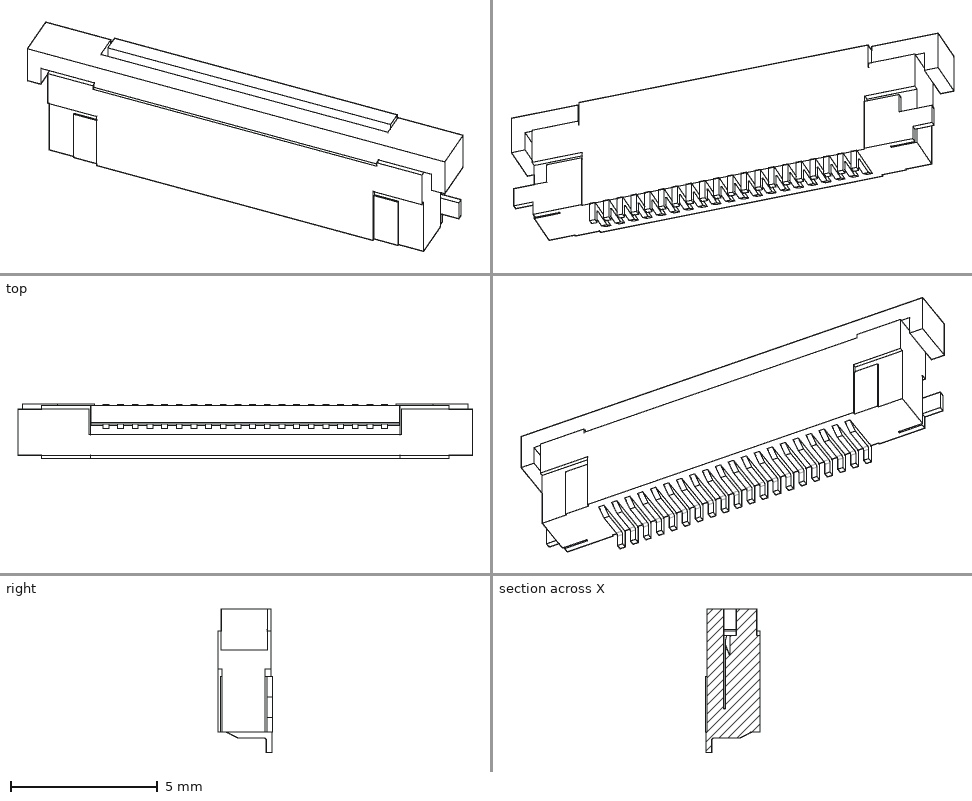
import cadquery as cq


total_width = 15.5
total_depth = 1.87
total_height = 4.9

housing_half_width = 6.95
housing_back = 1.82
housing_bottom = 0.7
shoulder_top = 4.15
deck_top = 4.0
deck_half_width = 5.27

bar_half_width = 5.25
bar_front = 1.24

recess_inner = 5.13
recess_top = 2.85
front_recess_depth = 0.14
back_recess_face = 1.61
pad_outer = 6.02
pad_top = 2.6
pad_face = 0.09
back_pad_face = 1.67

slider_front = 0.11
slider_back = 1.69
slider_bottom = 4.2
notch_half_width = 5.33
notch_front = 0.82
leg_width = 0.5
leg_bottom = 3.5

nail_plate_outer = 6.4
nail_foot_outer = 6.9
tab_tip = 7.6
tab_bottom = 1.2
tab_top = 1.9

slot_front = 1.19
slot_bottom = 1.5
lead_in_front = 1.14
lead_in_depth = 0.2
groove_front = 1.03
groove_floor_front = 3.3
groove_floor_back = 3.7
contact_count = 20
contact_pitch = 0.5
contact_width = 0.2

tail_back = 1.85
tail_thickness = 0.2
tail_arm_bottom = 0.5
tail_bend_radius = 0.08
tail_slope_start = 0.68
tail_slope_end = 0.29
tail_root_height = 0.1


def block(x_range, y_range, z_range):
    """Box spanning the given (low, high) ranges."""
    sizes = [high - low for low, high in (x_range, y_range, z_range)]
    corner = (x_range[0], y_range[0], z_range[0])
    return cq.Workplane("XY").box(*sizes, centered=False).translate(corner)


def centred_block(half_width, y_range, z_range):
    """Box spanning the given ranges, symmetric about X = 0."""
    return block((-half_width, half_width), y_range, z_range)


def both_ends(shape):
    """The shape together with its mirror image across X = 0."""
    return shape.union(shape.mirror("YZ"))


def at_contacts(shape):
    """One copy of the shape at every contact position, as a list."""
    first = -contact_pitch * (contact_count - 1) / 2
    return [shape.translate((first + i * contact_pitch, 0, 0)) for i in range(contact_count)]


def y_z_prism(half_width, points):
    """Prism with a Y-Z outline, symmetric about X = 0."""
    return cq.Workplane("YZ").polyline(points).close().extrude(half_width, both=True)


def make_housing():
    end_x = (recess_inner, housing_half_width)
    recess_z = (housing_bottom, recess_top)
    body = centred_block(housing_half_width, (0, housing_back), (housing_bottom, shoulder_top))
    deck_clearance = centred_block(deck_half_width, (0, housing_back), (deck_top, shoulder_top))
    front_recess = block(end_x, (0, front_recess_depth), recess_z)
    back_recess = block(end_x, (back_recess_face, housing_back), recess_z)
    pad_x = (recess_inner, pad_outer)
    pad_z = (housing_bottom, pad_top)
    front_pad = block(pad_x, (pad_face, front_recess_depth), pad_z)
    back_pad = block(pad_x, (back_recess_face, back_pad_face), pad_z)
    bar = centred_block(bar_half_width, (bar_front, housing_back), (deck_top, total_height))
    body = body.cut(deck_clearance).cut(both_ends(front_recess)).cut(both_ends(back_recess))
    return body.union(both_ends(front_pad)).union(both_ends(back_pad)).union(bar)


def make_slider():
    half_width = total_width / 2
    plate = centred_block(half_width, (slider_front, slider_back), (slider_bottom, total_height))
    tongue = centred_block(deck_half_width, (slider_front, notch_front), (deck_top, slider_bottom))
    leg = block((half_width - leg_width, half_width), (slider_front, slider_back), (leg_bottom, slider_bottom))
    notch = centred_block(notch_half_width, (notch_front, slider_back), (slider_bottom, total_height))
    return plate.cut(notch).union(tongue).union(both_ends(leg))


def make_nails():
    nail_y = (back_pad_face, total_depth)
    plate = block((recess_inner, nail_plate_outer), nail_y, (housing_bottom, pad_top))
    foot = block((nail_plate_outer, nail_foot_outer), nail_y, (housing_bottom, tab_top))
    tab = block((nail_foot_outer, tab_tip), nail_y, (tab_bottom, tab_top))
    return both_ends(plate.union(foot).union(tab))


def cut_cable_slot(body):
    slot = centred_block(bar_half_width, (slot_front, bar_front), (slot_bottom, deck_top))
    lead_in = y_z_prism(bar_half_width, [
        (lead_in_front, deck_top),
        (slot_front, deck_top - lead_in_depth),
        (slot_front, deck_top),
    ])
    groove = y_z_prism(contact_width / 2, [
        (groove_front, deck_top),
        (groove_front, groove_floor_front),
        (slot_front, groove_floor_back),
        (slot_front, deck_top),
    ])
    body = body.cut(slot).cut(lead_in)
    for contact_groove in at_contacts(groove):
        body = body.cut(contact_groove)
    return body


def make_tail():
    tail_front = tail_back - tail_thickness
    root_top = housing_bottom + tail_root_height
    profile = (
        cq.Workplane("YZ")
        .moveTo(tail_back, 0)
        .lineTo(tail_back, housing_bottom)
        .lineTo(housing_back, housing_bottom)
        .lineTo(housing_back, root_top)
        .lineTo(tail_slope_end, root_top)
        .lineTo(tail_slope_end, housing_bottom)
        .lineTo(tail_slope_start, tail_arm_bottom)
        .lineTo(tail_front - tail_bend_radius, tail_arm_bottom)
        .radiusArc((tail_front, tail_arm_bottom - tail_bend_radius), tail_bend_radius)
        .lineTo(tail_front, 0)
        .close()
    )
    return profile.extrude(contact_width / 2, both=True)


result = cut_cable_slot(make_housing()).union(make_slider()).union(make_nails())
for tail in at_contacts(make_tail()):
    result = result.union(tail)